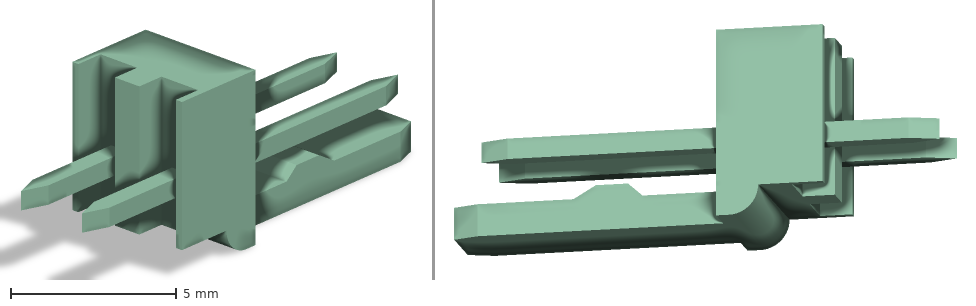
import cadquery as cq
import math


housing_width = 4.5
housing_depth = 3.3
housing_height = 5.8
foot_height = 0.9
foot_depth = 1.3
foot_radius = foot_height

pin_pitch = 2.5
pin_size = 0.64
pin_center_z = 2.6
pin_latch_side_length = 7.5
pin_board_side_length = 3.4

slot_width = 1.5
slot_depth = 1.0

latch_length = 8.4
latch_width = pin_pitch
latch_thickness = 1.0
latch_chamfer_length = 0.78

bump_start = 2.5
bump_height = 0.4
bump_short_ramp = 0.45
bump_flat = 1.0
bump_long_ramp_angle = 30
bump_long_ramp = bump_height / math.tan(math.radians(bump_long_ramp_angle))

taper_angle = 20
taper_slope = math.tan(math.radians(taper_angle))

pin_positions = [-pin_pitch / 2, pin_pitch / 2]


def make_housing():
    """Block with a raised underside and a rounded foot below the latch side."""
    foot_y = -foot_depth
    profile = (
        cq.Workplane("YZ")
        .moveTo(0, 0)
        .lineTo(0, housing_height)
        .lineTo(-housing_depth, housing_height)
        .lineTo(-housing_depth, foot_height)
        .lineTo(foot_y, foot_height)
        .radiusArc((foot_y + foot_radius, foot_height - foot_radius), -foot_radius)
        .close()
    )
    return profile.extrude(housing_width / 2, both=True)


def make_slot(x):
    """Cutter for the full-height slot around the pin at x."""
    return (
        cq.Workplane("XY")
        .center(x, -housing_depth + slot_depth / 2)
        .rect(slot_width, slot_depth)
        .extrude(housing_height)
    )


def make_pin(x):
    """Square pin along Y at x, sharpened to a vertical edge at both ends."""
    half = pin_size / 2
    tip_length = half / taper_slope
    latch_end = pin_latch_side_length
    board_end = -housing_depth - pin_board_side_length
    outline = [
        (x, latch_end),
        (x + half, latch_end - tip_length),
        (x + half, board_end + tip_length),
        (x, board_end),
        (x - half, board_end + tip_length),
        (x - half, latch_end - tip_length),
    ]
    return (
        cq.Workplane("XY", origin=(0, 0, pin_center_z - half))
        .polyline(outline)
        .close()
        .extrude(pin_size)
    )


def make_latch():
    """Latch arm with a locking bump on top and tapered corners at the free end."""
    bump_top = latch_thickness + bump_height
    flat_start = bump_start + bump_short_ramp
    flat_end = flat_start + bump_flat
    side_profile = [
        (0, 0),
        (latch_length, 0),
        (latch_length, latch_thickness),
        (flat_end + bump_long_ramp, latch_thickness),
        (flat_end, bump_top),
        (flat_start, bump_top),
        (bump_start, latch_thickness),
        (0, latch_thickness),
    ]
    arm = cq.Workplane("YZ").polyline(side_profile).close().extrude(latch_width / 2, both=True)

    half = latch_width / 2
    tip_half = half - latch_chamfer_length * taper_slope
    chamfer_y = latch_length - latch_chamfer_length
    plan_outline = [
        (-half, 0),
        (half, 0),
        (half, chamfer_y),
        (tip_half, latch_length),
        (-tip_half, latch_length),
        (-half, chamfer_y),
    ]
    plan = cq.Workplane("XY").polyline(plan_outline).close().extrude(bump_top)
    return arm.intersect(plan)


result = make_housing()
for pin_x in pin_positions:
    result = result.cut(make_slot(pin_x))
for pin_x in pin_positions:
    result = result.union(make_pin(pin_x))
result = result.union(make_latch())